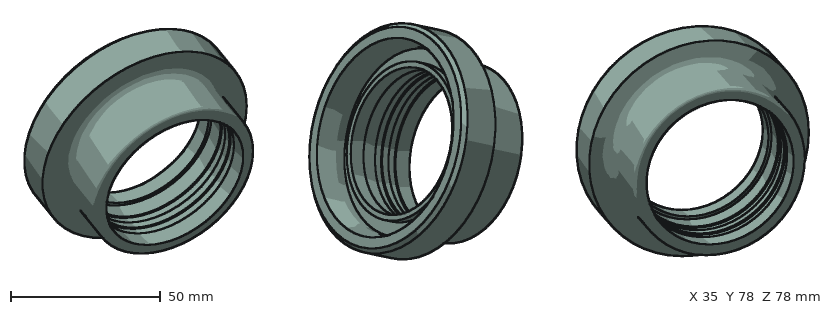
import cadquery as cq
import math

length = 35.0
flange_radius = 78 / 2
flange_chamfer = 1.5
flange_edge_x = 14.1
hub_radius = 61.0 / 2
hub_end_fillet = 1.5

neck_end_x = 19.8
neck_fillet = 5.0

recess_mouth_radius = 33.8
recess_floor_radius = 63.8 / 2
recess_depth = 10.8
recess_taper_end_x = 7.1
lip_radius = 54.0 / 2
lip_face_x = 7.3

throat_radius = 50.0 / 2
throat_end_x = 13.1
bore_radius = 52.2 / 2
groove_radius = 53.2 / 2
groove_width = 3.2
groove_starts = (19.35, 25.4)


def revolve_about_x(profile):
    return profile.close().revolve(360, (0, 0, 0), (1, 0, 0))


def cylinder(radius, start_x, end_x):
    return cq.Workplane("YZ", origin=(start_x, 0, 0)).circle(radius).extrude(end_x - start_x)


def make_body():
    center_x = neck_end_x
    center_r = hub_radius + neck_fillet
    to_edge_x = flange_edge_x - center_x
    to_edge_r = flange_radius - center_r
    edge_angle = math.atan2(to_edge_r, to_edge_x)
    tangent_angle = edge_angle + math.acos(neck_fillet / math.hypot(to_edge_x, to_edge_r))
    arc_end_angle = 1.5 * math.pi
    middle_angle = (tangent_angle + arc_end_angle) / 2

    def on_neck_arc(angle):
        return (center_x + neck_fillet * math.cos(angle), center_r + neck_fillet * math.sin(angle))

    profile = (
        cq.Workplane("XY")
        .lineTo(0, flange_radius - flange_chamfer)
        .lineTo(flange_chamfer, flange_radius)
        .lineTo(flange_edge_x, flange_radius)
        .lineTo(*on_neck_arc(tangent_angle))
        .threePointArc(on_neck_arc(middle_angle), (neck_end_x, hub_radius))
        .lineTo(length, hub_radius)
        .lineTo(length, 0)
    )
    return revolve_about_x(profile).faces(">X").edges().fillet(hub_end_fillet)


def make_recess():
    profile = (
        cq.Workplane("XY")
        .lineTo(0, recess_mouth_radius)
        .lineTo(recess_taper_end_x, recess_floor_radius)
        .lineTo(recess_depth, recess_floor_radius)
        .lineTo(recess_depth, 0)
    )
    lip = cylinder(lip_radius, lip_face_x, recess_depth)
    return revolve_about_x(profile).cut(lip)


def make_bore():
    bore = cylinder(throat_radius, 0, length).union(cylinder(bore_radius, throat_end_x, length))
    for start_x in groove_starts:
        bore = bore.union(cylinder(groove_radius, start_x, start_x + groove_width))
    return bore


result = make_body().cut(make_recess()).cut(make_bore())